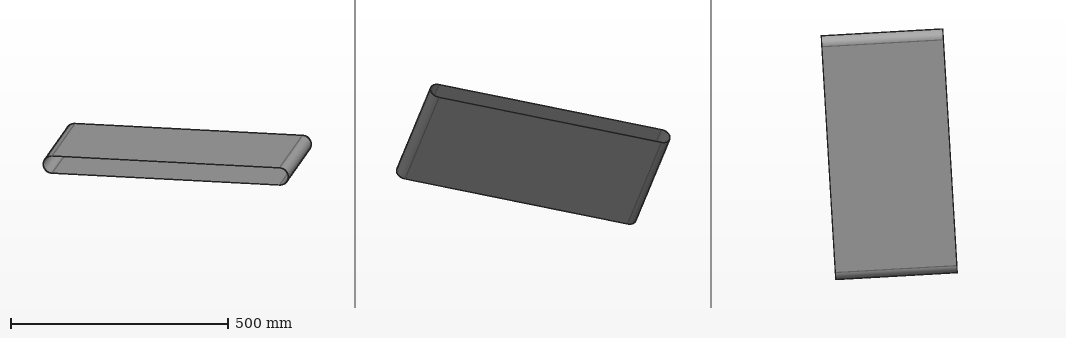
import cadquery as cq

belt_length = 575.0
belt_width = 280.0
belt_height = 42.0
wall = 1.0
turn_angle = 30


def obround_bar(length, height):
    """Solid bar with an obround section in XZ, centred on the origin."""
    return (
        cq.Workplane("XZ")
        .slot2D(length, height)
        .extrude(belt_width / 2, both=True)
    )


outside = obround_bar(belt_length, belt_height)
inside = obround_bar(belt_length - 2 * wall, belt_height - 2 * wall)

loop = outside.cut(inside)
result = loop.rotate((0, 0, 0), (0, 0, 1), turn_angle)